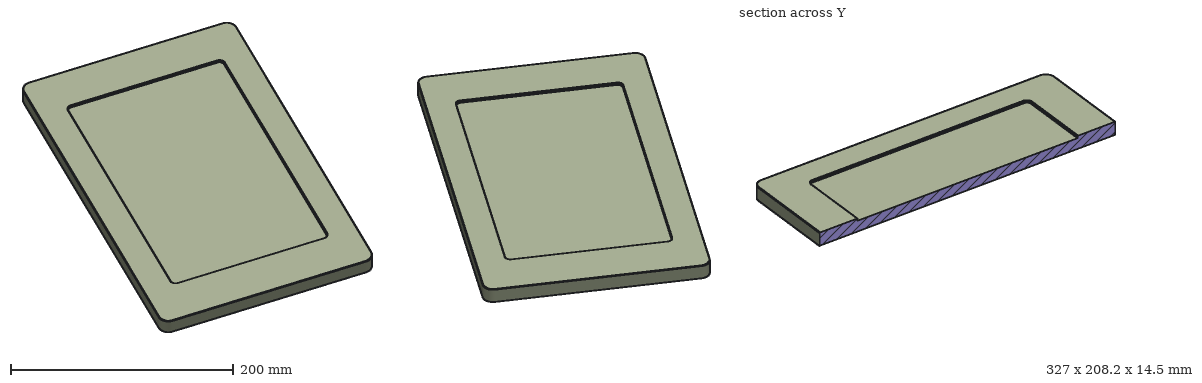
import cadquery as cq

plate_length = 327.0
plate_width = 208.2
plate_thickness = 14.5
plate_corner_radius = 9.5

recess_length = 242.5
recess_width = 152.5
recess_depth = 2.45
recess_corner_radius = 4.5

edge_chamfer = 0.5


def rounded_block(length, width, height, corner_radius):
    """Block standing on Z = 0, with its four upright edges rounded."""
    block = cq.Workplane("XY").box(length, width, height, centered=(True, True, False))
    return block.edges("|Z").fillet(corner_radius)


def make_plate():
    """Rounded plate before its top edges are bevelled."""
    return rounded_block(plate_length, plate_width, plate_thickness, plate_corner_radius)


def make_recess():
    """Volume removed from the top face of the plate."""
    recess = rounded_block(recess_length, recess_width, recess_depth, recess_corner_radius)
    return recess.translate((0, 0, plate_thickness - recess_depth))


recessed_plate = make_plate().cut(make_recess())
result = recessed_plate.faces(">Z").edges().chamfer(edge_chamfer)